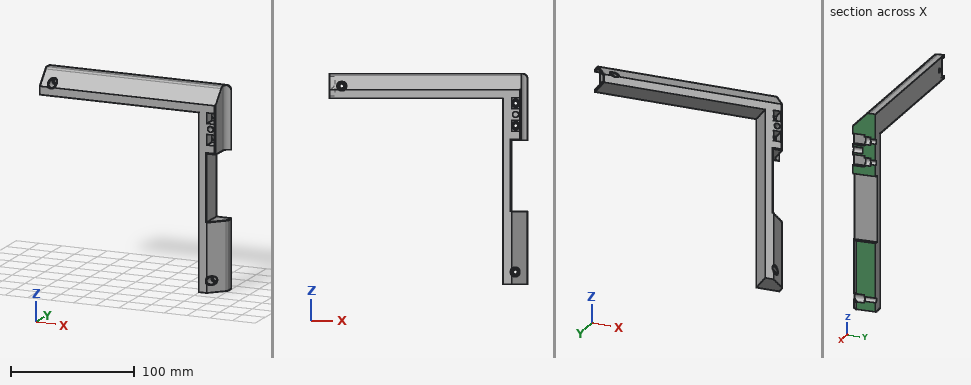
import cadquery as cq

length = 160.0
height = 170.0
depth = 20.0
bar_width = 20.0

front_land = 7.1
crest_radius = 4.0

step_x = 154.7
lip_thickness = 0.5
lip_fillet = length - step_x
lip_corner_radius = 4.2

notch_bottom = 59.2
notch_top = 116.1
bevel_width = 1.0
bevel_setback = 0.5
foot_chamfer = 0.5

hole_diameter = 3.5
counterbore_diameter = 6.5
screw_inset = 10.0
screw_floor = 10.0
mouth_chamfer = 0.7

pocket_width = 6.5
pocket_height = 9.0
pocket_depth = 10.2
pocket_counterbore_end = 15.3
pin_diameter = 4.8
pin_depth = 8.5
pin_z = 137.0
pocket_spacing = 18.0

recess_depth = 4.5
recess_wall = 1.5
recess_flange = 2.0
recess_bevel = 4.2

leg_inner_x = length - bar_width
bar_bottom = height - bar_width
notch_x = leg_inner_x + front_land
pocket_x = notch_x + pocket_width / 2


def box(x0, x1, y0, y1, z0, z1):
    return cq.Workplane("XY").box(x1 - x0, y1 - y0, z1 - z0, centered=False).translate((x0, y0, z0))


def front_cylinder(x, z, diameter, y0, y1):
    """Cylinder along Y, from y0 to y1."""
    return cq.Workplane("XZ", origin=(x, y0, z)).circle(diameter / 2).extrude(y0 - y1)


def top_bar():
    slope = bar_width - front_land
    section = [
        (0, bar_bottom),
        (depth, bar_bottom),
        (depth, height),
        (slope, height),
        (0, bar_bottom + front_land),
    ]
    bar = cq.Workplane("YZ").polyline(section).close().extrude(step_x)
    crest = cq.selectors.NearestToPointSelector((step_x / 2, slope, height))
    bar = bar.edges(crest).fillet(crest_radius)
    bevel = [(step_x - bevel_width, 0), (step_x, 0), (step_x, bevel_setback)]
    return bar.cut(cq.Workplane("XY").polyline(bevel).close().extrude(height))


def lower_leg():
    slope = bar_width - front_land
    section = [
        (leg_inner_x, 0),
        (notch_x, 0),
        (length, slope),
        (length, depth),
        (leg_inner_x, depth),
    ]
    leg = cq.Workplane("XY").polyline(section).close().extrude(notch_bottom)
    crest = cq.selectors.NearestToPointSelector((length, slope, notch_bottom / 2))
    leg = leg.edges(crest).fillet(crest_radius)
    sloped_edge = cq.selectors.NearestToPointSelector(((notch_x + length) / 2, slope / 2, notch_bottom))
    return leg.faces(">Z").edges(sloped_edge).chamfer(foot_chamfer)


def upper_leg():
    """Square-sided leg behind the notch and under the bar, with bevelled front edges."""
    top = bar_bottom + front_land
    outline = [
        (leg_inner_x, notch_bottom),
        (notch_x, notch_bottom),
        (notch_x, notch_top),
        (step_x, notch_top),
        (step_x, top),
        (leg_inner_x, top),
    ]
    leg = cq.Workplane("XZ").polyline(outline).close().extrude(-depth)
    bevelled_edges = [
        (notch_x, 0, (notch_bottom + notch_top) / 2),
        ((notch_x + step_x) / 2, 0, notch_top),
        (step_x, 0, (notch_top + top) / 2),
    ]
    edges = leg.edges(cq.selectors.NearestToPointSelector(bevelled_edges[0]))
    for point in bevelled_edges[1:]:
        edges = edges.add(leg.edges(cq.selectors.NearestToPointSelector(point)))
    return edges.chamfer(bevel_setback, bevel_width)


def rear_lip():
    """Thin lip along the upper side, joined to the step by a concave fillet."""
    lip_y = depth - lip_thickness
    lip = (
        cq.Workplane("XY", origin=(0, 0, notch_top))
        .moveTo(step_x, depth)
        .lineTo(step_x, lip_y - lip_fillet)
        .radiusArc((step_x + lip_fillet, lip_y), lip_fillet)
        .lineTo(length, depth)
        .close()
        .extrude(height - notch_top)
    )
    corner_mask = box(0, length, 0, depth, 0, height).edges(">X and >Z").fillet(lip_corner_radius)
    return lip.intersect(corner_mask)


def end_recess():
    """Open-backed recess whose floor bevels outward near the front wall."""
    bevel_end = recess_wall + recess_bevel
    plan = [
        (0, recess_wall),
        (recess_depth - recess_bevel, recess_wall),
        (recess_depth, bevel_end),
        (recess_depth, depth),
        (0, depth),
    ]
    bottom = bar_bottom + recess_flange
    recess = cq.Workplane("XY", origin=(0, 0, bottom)).polyline(plan).close().extrude(bar_width)
    offset = recess_wall * 2**0.5
    top = height - recess_flange
    slope_z = bar_bottom + front_land - offset
    section = [
        (recess_wall, bottom),
        (depth, bottom),
        (depth, top),
        (top - slope_z, top),
        (recess_wall, slope_z + recess_wall),
    ]
    return recess.intersect(cq.Workplane("YZ").polyline(section).close().extrude(length))


def drill_screw(body, x, z):
    """Counterbored through hole with a bevelled mouth on the sloping face."""
    body = body.cut(front_cylinder(x, z, counterbore_diameter, 0, screw_floor))
    reach = counterbore_diameter / 2 + mouth_chamfer
    near = cq.selectors.BoxSelector((x - reach, -1.7, z - reach), (x + reach, screw_floor - 1.7, z + reach))
    body = body.edges(near).edges("not #Y").edges("not %LINE").chamfer(mouth_chamfer)
    return body.cut(front_cylinder(x, z, hole_diameter, 0, depth))


def fastener_pocket(z):
    pocket = box(
        pocket_x - pocket_width / 2,
        pocket_x + pocket_width / 2,
        0,
        pocket_depth,
        z - pocket_height / 2,
        z + pocket_height / 2,
    )
    pocket = pocket.union(front_cylinder(pocket_x, z, counterbore_diameter, 0, pocket_counterbore_end))
    return pocket.union(front_cylinder(pocket_x, z, hole_diameter, 0, depth))


body = top_bar().union(lower_leg()).union(upper_leg()).union(rear_lip())
lower_front = box(leg_inner_x, notch_x, 0, depth, 0, notch_bottom)
body = body.union(lower_front)
body = drill_screw(body, screw_inset, height - screw_inset)
body = drill_screw(body, length - screw_inset, screw_inset)
for side in (-1, 1):
    body = body.cut(fastener_pocket(pin_z + side * pocket_spacing / 2))
body = body.cut(front_cylinder(pocket_x, pin_z, pin_diameter, 0, pin_depth))
result = body.cut(end_recess())